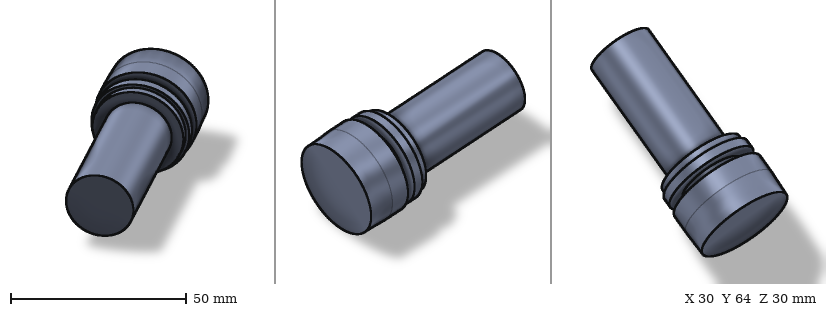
import cadquery as cq

shaft_diameter = 20.0
collar_diameter = 26.9
flange_diameter = 29.0
head_diameter = 30.0
head_end_diameter = 29.45

overall_length = 64.0
head_taper_length = 8.0
head_straight_length = 6.0
neck_length = 3.0
flange_length = 3.0
collar_length = 2.5

head_end_y = overall_length
taper_start_y = head_end_y - head_taper_length
head_back_y = taper_start_y - head_straight_length
flange_head_side_y = head_back_y - neck_length
flange_back_y = flange_head_side_y - flange_length
collar_back_y = flange_back_y - collar_length


def cylinder(diameter, start_y, end_y):
    """Solid cylinder on the Y axis between two Y positions."""
    base = cq.Workplane("XZ", origin=(0, start_y, 0))
    return base.circle(diameter / 2).extrude(start_y - end_y)


def tapered_head_end():
    """Slightly conical end of the head, narrowing towards +Y."""
    profile = (
        cq.Workplane("XY")
        .moveTo(0, taper_start_y)
        .lineTo(head_diameter / 2, taper_start_y)
        .lineTo(head_end_diameter / 2, head_end_y)
        .lineTo(0, head_end_y)
        .close()
    )
    return profile.revolve(360, (0, 0, 0), (0, 1, 0))


shaft = cylinder(shaft_diameter, 0, head_back_y)
collar = cylinder(collar_diameter, collar_back_y, flange_back_y)
flange = cylinder(flange_diameter, flange_back_y, flange_head_side_y)
head = cylinder(head_diameter, head_back_y, taper_start_y)

result = shaft.union(collar).union(flange).union(head).union(tapered_head_end())